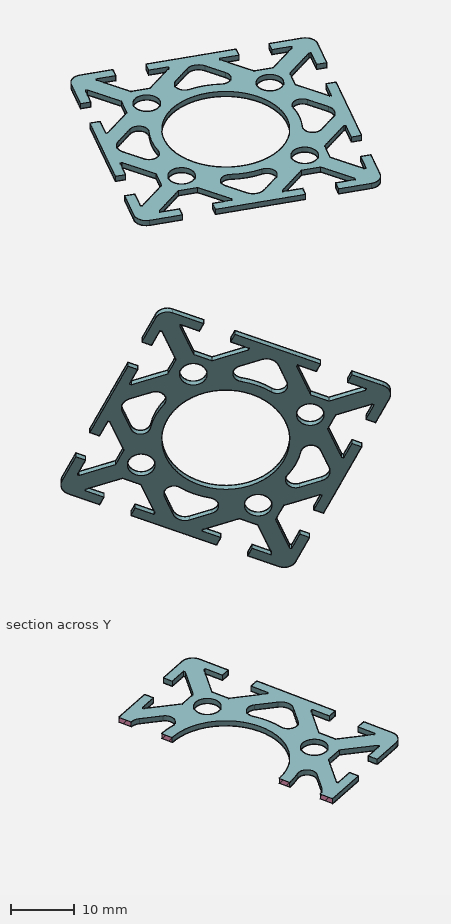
import cadquery as cq
import math

side = 40.0
thickness = 1.0
corner_radius = 2.0
half_side = side / 2

bore_diameter = 20.0
screw_hole_diameter = 4.3
screw_hole_spacing = side / 2

slot_offset = screw_hole_spacing / 2
slot_opening = 5.3
slot_inner_width = 11.75
slot_floor_width = 3.1
slot_depth = 6.3
lip_thickness = 1.7

pocket_inner_radius = 12.0
pocket_apex = 18.5
pocket_apex_radius = 2.0
pocket_corner_radius = 1.6

side_angles = [0, 90, 180, 270]


def make_slot(center_x):
    """T-slot cutter open through the +Y side, with 45 degree walls down to a flat floor."""
    lip_y = half_side - lip_thickness
    floor_y = half_side - slot_depth
    wall_top_y = floor_y + (slot_inner_width - slot_floor_width) / 2
    right_half = [
        (slot_floor_width / 2, floor_y),
        (slot_inner_width / 2, wall_top_y),
        (slot_inner_width / 2, lip_y),
        (slot_opening / 2, lip_y),
        (slot_opening / 2, half_side),
    ]
    left_half = [(-x, y) for x, y in reversed(right_half)]
    outline = cq.Workplane("XY").polyline(right_half + left_half).close()
    return outline.extrude(thickness).translate((center_x, 0, 0))


def polar(radius, angle, center=(0, 0)):
    """Point at a distance and an angle in degrees from a center."""
    radians = math.radians(angle)
    return (center[0] + radius * math.cos(radians), center[1] + radius * math.sin(radians))


def mirrored(point):
    return (-point[0], point[1])


def make_pocket():
    """Pocket cutter: two 45 degree walls, an arc around the bore and three rounded corners."""
    wall_normal = 135
    wall_distance = pocket_apex * math.sin(math.radians(45))

    corner_distance = pocket_inner_radius + pocket_corner_radius
    corner_swing = math.degrees(math.acos((wall_distance - pocket_corner_radius) / corner_distance))
    corner_angle = wall_normal - corner_swing
    corner_center = polar(corner_distance, corner_angle)
    inner_end = polar(pocket_inner_radius, corner_angle)
    corner_mid = polar(pocket_corner_radius, (wall_normal + corner_angle + 180) / 2, corner_center)
    wall_start = polar(pocket_corner_radius, wall_normal, corner_center)

    apex_center = (0, pocket_apex - pocket_apex_radius * math.sqrt(2))
    wall_end = polar(pocket_apex_radius, wall_normal, apex_center)
    apex_top = polar(pocket_apex_radius, 90, apex_center)

    return (
        cq.Workplane("XY")
        .moveTo(*inner_end)
        .threePointArc(corner_mid, wall_start)
        .lineTo(*wall_end)
        .threePointArc(apex_top, mirrored(wall_end))
        .lineTo(*mirrored(wall_start))
        .threePointArc(mirrored(corner_mid), mirrored(inner_end))
        .threePointArc((0, pocket_inner_radius), inner_end)
        .close()
        .extrude(thickness)
    )


plate = (
    cq.Workplane("XY")
    .rect(side, side)
    .extrude(thickness)
    .edges("|Z")
    .fillet(corner_radius)
)

plate = plate.faces(">Z").workplane().hole(bore_diameter)
plate = (
    plate.faces(">Z")
    .workplane(origin=(0, 0, 0))
    .rect(screw_hole_spacing, screw_hole_spacing, forConstruction=True)
    .vertices()
    .hole(screw_hole_diameter)
)

side_cutters = [make_slot(-slot_offset), make_slot(slot_offset), make_pocket()]
for angle in side_angles:
    for cutter in side_cutters:
        plate = plate.cut(cutter.rotate((0, 0, 0), (0, 0, 1), angle))

result = plate